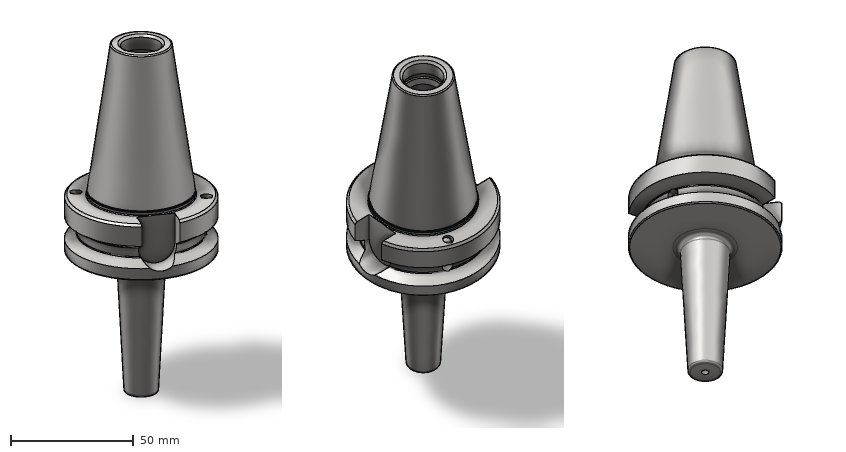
import cadquery as cq
import math


gauge_diameter = 44.45
taper_ratio = 7 / 24
taper_length = 65.4
taper_end_chamfer = 0.5

relief_width = 0.6
relief_depth = 0.4
collar_diameter = 44.7
collar_foot_diameter = 45.5
collar_foot_height = 0.4

flange_diameter = 63.0
flange_top = -2.0
flange_bottom = -27.0
flange_top_chamfer = 1.0
flange_bottom_chamfer = 0.5
groove_floor_diameter = 53.0
groove_center = -16.65
groove_mouth_width = 10.0
groove_wall_slope = 30.0
groove_fillet = 0.5

nose_end = -90.0
nose_root_diameter = 20.4
nose_tip_diameter = 14.3
nose_root_fillet = 3.0
nose_tip_fillet = 1.0

mouth_diameter = 19.2
mouth_chamfer_depth = 1.0
pilot_diameter = 17.0
pilot_depth = 9.0
undercut_diameter = 19.0
undercut_width = 2.5
thread_diameter = 13.6
thread_depth = 30.0
coolant_diameter = 5.4
through_diameter = 3.0
coolant_end = -50.0
bore_cone_angle = 118.0
step_cone_angle = 90.0

slot_width = 16.1
slot_floor_distance = 22.6
slot_bottom = -23.2

coolant_hole_angles = (70.0, 250.0)
face_hole_diameter = 4.3
face_hole_radius = 26.85
face_hole_tilt = 30.0
groove_hole_diameter = 4.8
hole_recess = 1.5


def cone_height(large_diameter, small_diameter, included_angle):
    """Axial length of a cone between two diameters."""
    return (large_diameter - small_diameter) / 2 / math.tan(math.radians(included_angle / 2))


def make_body():
    """Revolved outside of the holder: taper, flange and nose."""
    taper_end_radius = (gauge_diameter - taper_length * taper_ratio) / 2
    chamfer_start = taper_length - taper_end_chamfer
    chamfer_start_radius = (gauge_diameter - chamfer_start * taper_ratio) / 2
    gauge_radius = gauge_diameter / 2
    relief_radius = gauge_radius - relief_depth
    collar_radius = collar_diameter / 2
    flange_radius = flange_diameter / 2
    groove_radius = groove_floor_diameter / 2
    groove_half_mouth = groove_mouth_width / 2
    slope = math.radians(groove_wall_slope)
    wall_height = (flange_radius - groove_radius) * math.tan(slope)
    groove_half_floor = groove_half_mouth - wall_height
    setback = groove_fillet * math.tan((math.pi / 2 - slope) / 2)
    floor_touch = groove_half_floor - setback
    wall_touch = groove_half_floor + setback * math.sin(slope)
    wall_touch_radius = groove_radius + setback * math.cos(slope)
    nose_root_radius = nose_root_diameter / 2
    nose_tip_radius = nose_tip_diameter / 2

    outline = (
        cq.Workplane("YZ")
        .moveTo(0, taper_length)
        .lineTo(taper_end_radius - taper_end_chamfer, taper_length)
        .lineTo(chamfer_start_radius, chamfer_start)
        .lineTo(gauge_radius, 0)
        .lineTo(relief_radius, 0)
        .lineTo(relief_radius, -relief_width)
        .lineTo(collar_radius, -relief_width)
        .lineTo(collar_radius, flange_top + collar_foot_height)
        .lineTo(collar_foot_diameter / 2, flange_top)
        .lineTo(flange_radius - flange_top_chamfer, flange_top)
        .lineTo(flange_radius, flange_top - flange_top_chamfer)
        .lineTo(flange_radius, groove_center + groove_half_mouth)
        .lineTo(wall_touch_radius, groove_center + wall_touch)
        .radiusArc((groove_radius, groove_center + floor_touch), -groove_fillet)
        .lineTo(groove_radius, groove_center - floor_touch)
        .radiusArc((wall_touch_radius, groove_center - wall_touch), -groove_fillet)
        .lineTo(flange_radius, groove_center - groove_half_mouth)
        .lineTo(flange_radius, flange_bottom + flange_bottom_chamfer)
        .lineTo(flange_radius - flange_bottom_chamfer, flange_bottom)
        .lineTo(nose_root_radius + nose_root_fillet, flange_bottom)
        .radiusArc((nose_root_radius, flange_bottom - nose_root_fillet), -nose_root_fillet)
        .lineTo(nose_tip_radius, nose_end + nose_tip_fillet)
        .radiusArc((nose_tip_radius - nose_tip_fillet, nose_end), nose_tip_fillet)
        .lineTo(0, nose_end)
        .close()
    )
    return outline.revolve(360, (0, 0, 0), (0, 1, 0))


def make_bore():
    """Stepped bore that runs along the axis through the whole holder."""
    pilot_bottom = taper_length - pilot_depth
    undercut_top = pilot_bottom + undercut_width
    thread_top = pilot_bottom - cone_height(pilot_diameter, thread_diameter, step_cone_angle)
    thread_bottom = taper_length - thread_depth
    coolant_top = thread_bottom - cone_height(thread_diameter, coolant_diameter, bore_cone_angle)
    through_top = coolant_end - cone_height(coolant_diameter, through_diameter, bore_cone_angle)
    outline = (
        cq.Workplane("YZ")
        .moveTo(0, taper_length)
        .lineTo(mouth_diameter / 2, taper_length)
        .lineTo(pilot_diameter / 2, taper_length - mouth_chamfer_depth)
        .lineTo(pilot_diameter / 2, undercut_top)
        .lineTo(undercut_diameter / 2, undercut_top)
        .lineTo(undercut_diameter / 2, pilot_bottom)
        .lineTo(pilot_diameter / 2, pilot_bottom)
        .lineTo(thread_diameter / 2, thread_top)
        .lineTo(thread_diameter / 2, thread_bottom)
        .lineTo(coolant_diameter / 2, coolant_top)
        .lineTo(coolant_diameter / 2, coolant_end)
        .lineTo(through_diameter / 2, through_top)
        .lineTo(through_diameter / 2, nose_end)
        .lineTo(0, nose_end)
        .close()
    )
    return outline.revolve(360, (0, 0, 0), (0, 1, 0))


def make_drive_slot():
    """Round-ended slot cutter on the +X side, open upward to the gauge plane."""
    radius = slot_width / 2
    arc_center = slot_bottom + radius
    outline = (
        cq.Workplane("YZ", origin=(slot_floor_distance, 0, 0))
        .moveTo(-radius, 0)
        .lineTo(-radius, arc_center)
        .threePointArc((0, slot_bottom), (radius, arc_center))
        .lineTo(radius, 0)
        .close()
    )
    return outline.extrude(flange_diameter / 2)


def make_plugged_hole(diameter):
    """Hole along -Z from the origin, with a domed bottom left by its ball plug."""
    radius = diameter / 2
    plug_center = -hole_recess - radius
    overrun = diameter
    outline = (
        cq.Workplane("XZ")
        .moveTo(0, overrun)
        .lineTo(radius, overrun)
        .lineTo(radius, plug_center)
        .radiusArc((0, -hole_recess), -radius)
        .close()
    )
    return outline.revolve(360, (0, 0, 0), (0, 1, 0))


def make_face_hole():
    """Plugged hole in the flange top on the +X side."""
    hole = make_plugged_hole(face_hole_diameter)
    return hole.rotate((0, 0, 0), (0, 1, 0), face_hole_tilt).translate((face_hole_radius, 0, flange_top))


def make_groove_hole():
    """Plugged radial hole in the floor of the V-groove on the +X side."""
    hole = make_plugged_hole(groove_hole_diameter)
    return hole.rotate((0, 0, 0), (0, 1, 0), 90).translate((groove_floor_diameter / 2, 0, groove_center))


result = make_body().cut(make_bore())

for slot_angle in (0, 180):
    result = result.cut(make_drive_slot().rotate((0, 0, 0), (0, 0, 1), slot_angle))

for hole_angle in coolant_hole_angles:
    for hole in (make_face_hole(), make_groove_hole()):
        result = result.cut(hole.rotate((0, 0, 0), (0, 0, 1), hole_angle))